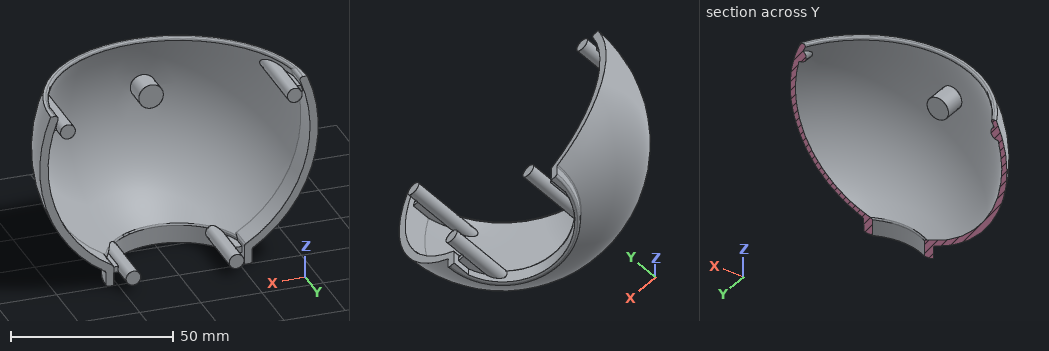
import cadquery as cq
import math

BALL_RADIUS = 45.5
TOP_Z = 17.65
BOTTOM_Z = -43.9

BOWL_INNER_RADIUS = 43.6
BOWL_HOLE_RADIUS = 22.2
BOWL_EDGE_ROUND = 0.7

RIB_INNER_RADIUS = 42.8
RIB_HOLE_HALF_WIDTH = 21.3
RIB_EDGE_ROUND = 1.0

COLLAR_RADIUS = 23.9
COLLAR_NECK_ROUND = 0.6
NECK_MARGIN = 0.1
COLLAR_EDGE_ROUND = 0.8
COLLAR_TOP_Z = -math.sqrt(BALL_RADIUS**2 - COLLAR_RADIUS**2)

PIN_DIAMETER = 4.8
UPPER_PIN_X = 37.0
UPPER_PIN_Z = 12.7
UPPER_PIN_END_Y = 2.1
UPPER_PIN_LENGTH = 25.5
LOWER_PIN_X = 16.8
LOWER_PIN_Z = -39.5
LOWER_PIN_END_Y = 5.5
LOWER_PIN_LENGTH = 21.6
WEB_THICKNESS = 2.0
WEB_SETBACK = 1.9

BOSS_DIAMETER = 8.0
BOSS_X = -3.6
BOSS_Z = 0.0
BOSS_END_Y = -35.8


def cylinder_along_y(x, z, diameter, end_y, length):
    """Cylinder that starts at end_y and runs toward -Y."""
    return cq.Workplane("XZ", origin=(x, end_y, z)).circle(diameter / 2).extrude(length)


def space_beside_joint(direction):
    """Block that fills one side of the joint face: +1 for +Y, -1 for -Y."""
    block = cq.Workplane("XY").box(2 * BALL_RADIUS, BALL_RADIUS, 2 * BALL_RADIUS)
    return block.translate((0, direction * BALL_RADIUS / 2, 0))


def cavity_profile(inner_radius, hole_half_width, edge_round):
    """Half section of the cavity in XZ, with its rim and floor-hole edges rounded."""
    centre_distance = inner_radius + edge_round

    rim_z = TOP_Z - edge_round
    rim_x = math.sqrt(centre_distance**2 - rim_z**2)
    floor_x = hole_half_width + edge_round
    floor_z = -math.sqrt(centre_distance**2 - floor_x**2)

    def point_at(x, z, distance, angle):
        return (x + distance * math.cos(angle), z + distance * math.sin(angle))

    rim_angle = math.atan2(rim_z, rim_x)
    floor_angle = math.atan2(floor_z, floor_x)
    rim_mid_angle = (rim_angle + 1.5 * math.pi) / 2
    floor_mid_angle = (floor_angle + 2 * math.pi) / 2

    return (
        cq.Workplane("XZ")
        .moveTo(0, BOTTOM_Z)
        .lineTo(hole_half_width, BOTTOM_Z)
        .lineTo(hole_half_width, floor_z)
        .threePointArc(
            point_at(floor_x, floor_z, edge_round, floor_mid_angle),
            point_at(0, 0, inner_radius, floor_angle),
        )
        .threePointArc((inner_radius, 0), point_at(0, 0, inner_radius, rim_angle))
        .threePointArc(
            point_at(rim_x, rim_z, edge_round, rim_mid_angle),
            (rim_x, TOP_Z),
        )
        .lineTo(0, TOP_Z)
        .close()
    )


def make_outside():
    """Solid half ball cut flat at the top, standing on its half-round collar."""
    slab = (
        cq.Workplane("XY", origin=(0, 0, COLLAR_TOP_Z))
        .rect(2 * BALL_RADIUS, 2 * BALL_RADIUS)
        .extrude(TOP_Z - COLLAR_TOP_Z)
    )
    ball = cq.Workplane("XY").sphere(BALL_RADIUS).intersect(slab)
    collar = (
        cq.Workplane("XY", origin=(0, 0, BOTTOM_Z))
        .circle(COLLAR_RADIUS)
        .extrude(COLLAR_TOP_Z - BOTTOM_Z)
        .faces("<Z")
        .edges()
        .fillet(COLLAR_EDGE_ROUND)
    )
    neck = cq.selectors.BoxSelector(
        (-BALL_RADIUS, -BALL_RADIUS, COLLAR_TOP_Z - NECK_MARGIN),
        (BALL_RADIUS, BALL_RADIUS, COLLAR_TOP_Z + NECK_MARGIN),
        boundingbox=True,
    )
    body = ball.union(collar).edges(neck).fillet(COLLAR_NECK_ROUND)
    return body.intersect(space_beside_joint(-1))


def make_cavity():
    """Round bowl cavity, narrowed next to the joint face by the rib."""
    bowl = cavity_profile(BOWL_INNER_RADIUS, BOWL_HOLE_RADIUS, BOWL_EDGE_ROUND).revolve(
        360, (0, 0, 0), (0, 1, 0)
    )
    right_half = cavity_profile(RIB_INNER_RADIUS, RIB_HOLE_HALF_WIDTH, RIB_EDGE_ROUND).extrude(
        BALL_RADIUS, both=True
    )
    return bowl.intersect(right_half.union(right_half.mirror("YZ")))


def make_pin(x, z, end_y, length, wall_x):
    """Pin and the web that joins it to the wall; the web stops at wall_x."""
    pin = cylinder_along_y(x, z, PIN_DIAMETER, end_y, length)
    pin_tip_y = end_y - length
    web_length = -WEB_SETBACK - pin_tip_y
    web = cq.Workplane("XY").box(abs(wall_x - x), web_length, WEB_THICKNESS)
    web = web.translate(((x + wall_x) / 2, pin_tip_y + web_length / 2, z))
    return pin, web


def make_fittings():
    """All pins, webs and the boss, before they are trimmed to the outside of the bowl."""
    fittings = cylinder_along_y(
        BOSS_X, BOSS_Z, BOSS_DIAMETER, BOSS_END_Y, BALL_RADIUS + BOSS_END_Y
    )
    for side in (-1, 1):
        for x, z, end_y, length, wall_x in (
            (UPPER_PIN_X, UPPER_PIN_Z, UPPER_PIN_END_Y, UPPER_PIN_LENGTH, BALL_RADIUS),
            (LOWER_PIN_X, LOWER_PIN_Z, LOWER_PIN_END_Y, LOWER_PIN_LENGTH, COLLAR_RADIUS),
        ):
            pin, web = make_pin(side * x, z, end_y, length, side * wall_x)
            fittings = fittings.union(pin).union(web)
    return fittings


outside = make_outside()
allowed_space = outside.union(space_beside_joint(1))
result = outside.cut(make_cavity()).union(make_fittings().intersect(allowed_space))